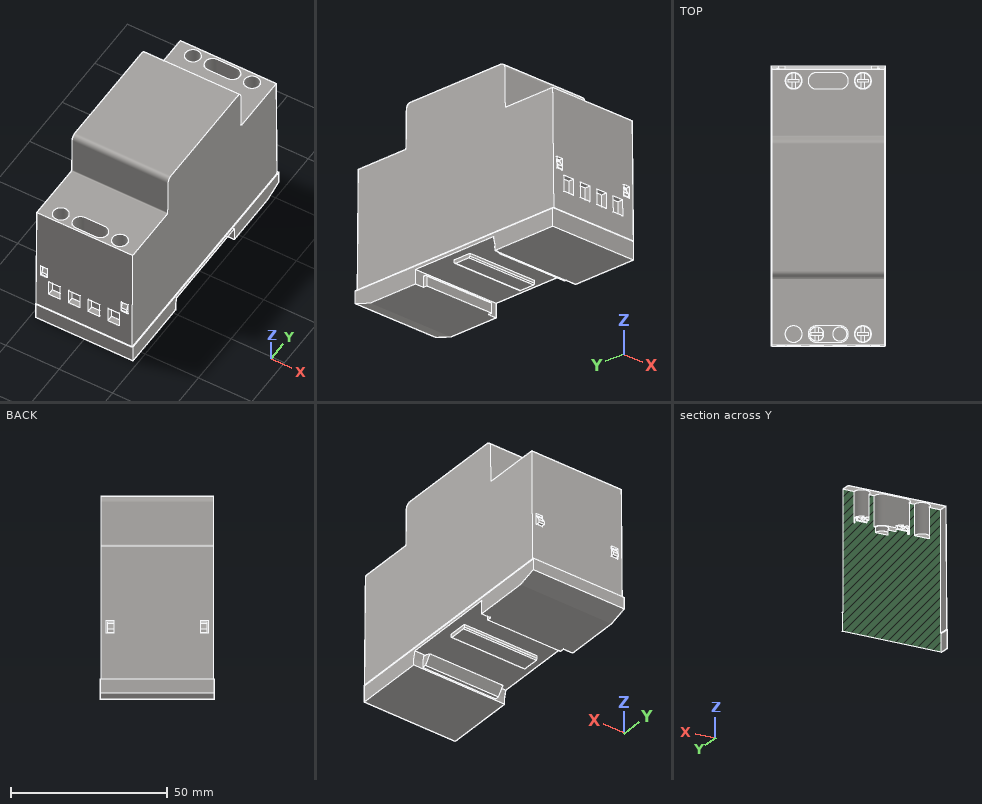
import cadquery as cq


overlap = 0.9

base_width = 36.5
base_back = 44.9
base_front = -44.6
base_height = 6.55
base_chamfer_run = 6.8
base_chamfer_rise = 2.1

rail_roof = 5.1
rail_back = 17.5
rail_front_top = -17.8
rail_front_bottom = -18.4
rail_slope_start = 2.4
rail_part_width = 29.3
hook_reach = 1.5
hook_top = 3.95
pad_back = 3.6
pad_front = -3.5
pad_drop = 1.4
claw_tip_y = -14.5
claw_tip_z = 3.7
claw_top_y = -17.3
claw_top_z = 4.8
claw_bottom_y = -17.0
claw_bottom_z = 0.5
small_chamfer = 0.45

body_width = 36.0
body_top = 49.1
body_bottom_back = 44.2
body_bottom_front = -44.9
body_top_back = 43.7
body_top_front = -44.3
body_middle = (body_bottom_back + body_bottom_front) / 2

hump_top = 65.0
hump_foot_back = 22.1
hump_foot_front = -22.9
hump_lean = 0.2
hump_round = 2.0
root_round = 0.45

terminal_span = 22.2
terminal_pitch = terminal_span / 3
outer_terminal = terminal_span / 2
inner_terminal = terminal_pitch / 2
terminal_offset = 40.5
front_row = body_middle - terminal_offset
back_row = body_middle + terminal_offset
well_diameter = 5.4
well_depth = 10.8
head_height = 1.8
outer_head_diameter = 5.0
inner_head_diameter = 4.5
short_slot_length = 3.6
short_slot_width = 0.9
long_slot_width = 1.2
long_slot_depth = 0.45
short_slot_depth = 0.9
empty_screw_depth = 1.8

window_width = 4.3
window_top = 19.6
outer_window_height = 5.65
inner_window_height = 5.5
window_depth = 2.15

pocket_inner_x = 13.8
pocket_width = 2.6
pocket_bottom = 21.2
pocket_height = 4.0
pocket_depth = 1.4
latch_width = 2.1
latch_bottom = 21.45
latch_nose_top = 22.5
latch_slope_top = 24.3
latch_ledge = 0.4
latch_slope_run = 1.1
front_latch_tip = -44.6
back_latch_tip = base_back


def box(x_min, x_max, y_min, y_max, z_min, z_max):
    size = (x_max - x_min, y_max - y_min, z_max - z_min)
    return cq.Workplane("XY").box(*size, centered=False).translate((x_min, y_min, z_min))


def prism(points, width):
    """Extrude a (Y, Z) polygon symmetrically about X = 0."""
    return cq.Workplane("YZ").polyline(points).close().extrude(width / 2, both=True)


def wall_y(z, y_bottom, y_top):
    """Y of a drafted end wall at height z."""
    return y_bottom + (y_top - y_bottom) * (z - base_height) / (body_top - base_height)


def make_base():
    return prism(
        [
            (base_back, base_height),
            (base_back, base_chamfer_rise),
            (base_back - base_chamfer_run, 0),
            (rail_back, 0),
            (rail_back, rail_roof),
            (rail_front_top, rail_roof),
            (rail_front_bottom, rail_slope_start),
            (rail_front_bottom, 0),
            (base_front, 0),
            (base_front, base_height),
        ],
        base_width,
    )


def make_rail_parts():
    """Hook, centre pad and claw that bear on the mounting rail."""
    hook_tip = rail_back - hook_reach
    hook = prism(
        [
            (rail_back, 0),
            (hook_tip, 0),
            (hook_tip, hook_top - small_chamfer),
            (hook_tip + small_chamfer, hook_top),
            (rail_back, hook_top),
        ],
        rail_part_width,
    )
    pad_bottom = rail_roof - pad_drop
    pad = prism(
        [
            (pad_back, rail_roof),
            (pad_back, pad_bottom + small_chamfer),
            (pad_back - small_chamfer, pad_bottom),
            (pad_front + small_chamfer, pad_bottom),
            (pad_front, pad_bottom + small_chamfer),
            (pad_front, rail_roof),
        ],
        rail_part_width,
    )
    claw_root = rail_front_bottom - overlap
    claw = prism(
        [
            (claw_tip_y, claw_tip_z),
            (claw_top_y, claw_top_z),
            (claw_root, claw_top_z),
            (claw_root, claw_bottom_z),
            (claw_bottom_y, claw_bottom_z),
        ],
        rail_part_width,
    )
    return hook.union(pad).union(claw)


def make_housing():
    lower = prism(
        [
            (body_bottom_back, base_height),
            (body_top_back, body_top),
            (body_top_front, body_top),
            (body_bottom_front, base_height),
        ],
        body_width,
    )
    hump = prism(
        [
            (hump_foot_back, body_top),
            (hump_foot_back - hump_lean, hump_top),
            (hump_foot_front + hump_lean, hump_top),
            (hump_foot_front, body_top),
        ],
        body_width,
    )
    hump = hump.edges("|X and >Z").fillet(hump_round)
    housing = lower.union(hump)
    reach = 0.1
    roots = cq.selectors.BoxSelector(
        (-body_width, hump_foot_front - reach, body_top - reach),
        (body_width, hump_foot_back + reach, body_top + reach),
    )
    return housing.edges("|X").edges(roots).fillet(root_round)


def cut_wells(part):
    floor = body_top - well_depth
    for row in (front_row, back_row):
        plane = cq.Workplane("XY", origin=(0, row, floor))
        round_wells = plane.pushPoints([(-outer_terminal, 0), (outer_terminal, 0)])
        part = part.cut(round_wells.circle(well_diameter / 2).extrude(well_depth))
        long_well = plane.slot2D(terminal_pitch + well_diameter, well_diameter)
        part = part.cut(long_well.extrude(well_depth))
    empty_screw = cq.Workplane("XY", origin=(inner_terminal, front_row, floor))
    return part.cut(empty_screw.circle(inner_head_diameter / 2).extrude(-empty_screw_depth))


def make_screw_head(x, y, diameter):
    """Combination head: a long slot across the full head and a short one crossing it."""
    top = body_top - well_depth + head_height
    plane = cq.Workplane("XY", origin=(x, y, top))
    head = plane.circle(diameter / 2).extrude(-head_height)
    head = head.cut(plane.rect(long_slot_width, diameter).extrude(-long_slot_depth))
    return head.cut(plane.rect(short_slot_length, short_slot_width).extrude(-short_slot_depth))


def add_screw_heads(part):
    part = part.union(make_screw_head(-outer_terminal, back_row, outer_head_diameter))
    part = part.union(make_screw_head(outer_terminal, back_row, outer_head_diameter))
    part = part.union(make_screw_head(outer_terminal, front_row, outer_head_diameter))
    return part.union(make_screw_head(-inner_terminal, front_row, inner_head_diameter))


def cut_windows(part):
    floor_y = wall_y(window_top, body_bottom_front, body_top_front) + window_depth
    window_heights = {
        -outer_terminal: outer_window_height,
        -inner_terminal: inner_window_height,
        inner_terminal: inner_window_height,
        outer_terminal: outer_window_height,
    }
    for x, height in window_heights.items():
        window = box(
            x - window_width / 2, x + window_width / 2,
            body_bottom_front - overlap, floor_y,
            window_top - height, window_top,
        )
        part = part.cut(window)
    return part


def add_latches(part, side, tip, wall):
    """Pocket and wedge at both corners of one end; side is -1 for the front, +1 for the back."""
    floor_y = wall - side * pocket_depth
    root_y = floor_y - side * overlap
    slope_end = tip - side * latch_slope_run
    y_min, y_max = sorted((floor_y, wall + side * overlap))
    pocket = box(
        pocket_inner_x, pocket_inner_x + pocket_width,
        y_min, y_max,
        pocket_bottom, pocket_bottom + pocket_height,
    )
    latch = prism(
        [
            (root_y, latch_bottom),
            (tip, latch_bottom),
            (tip, latch_nose_top),
            (slope_end, latch_slope_top),
            (slope_end, latch_slope_top + latch_ledge),
            (root_y, latch_slope_top + latch_ledge),
        ],
        latch_width,
    ).translate((pocket_inner_x + latch_width / 2, 0, 0))
    part = part.cut(pocket).cut(pocket.mirror("YZ"))
    return part.union(latch).union(latch.mirror("YZ"))


front_wall = wall_y(latch_slope_top, body_bottom_front, body_top_front)
back_wall = wall_y(latch_slope_top, body_bottom_back, body_top_back)

result = make_base().union(make_rail_parts()).union(make_housing())
result = add_screw_heads(cut_wells(result))
result = cut_windows(result)
result = add_latches(result, -1, front_latch_tip, front_wall)
result = add_latches(result, 1, back_latch_tip, back_wall)